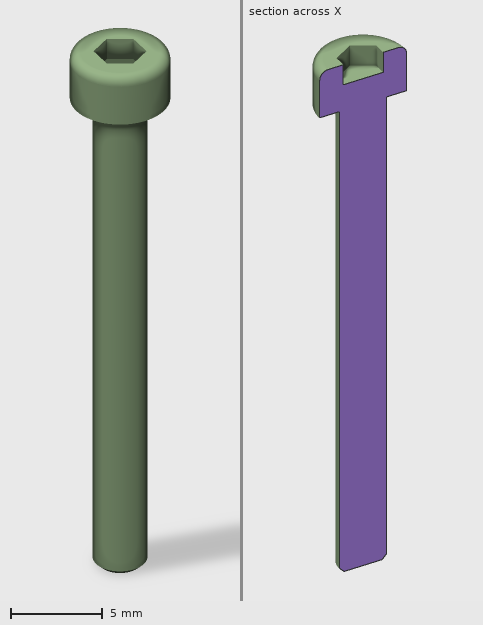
import cadquery as cq
import math

shank_diameter = 3.0
shank_length = 30.0
tip_chamfer = 0.3

head_diameter = 5.5
head_height = 3.0
head_fillet = 0.1 * head_diameter

socket_across_flats = 2.5
socket_depth = 1.3


def make_head():
    head = cq.Workplane("XY").circle(head_diameter / 2).extrude(head_height)
    return head.faces(">Z").edges().fillet(head_fillet)


def make_shank():
    shank = cq.Workplane("XY").circle(shank_diameter / 2).extrude(-shank_length)
    return shank.faces("<Z").edges().chamfer(tip_chamfer)


def make_socket():
    """Hexagonal key socket with two corners on the X axis."""
    across_corners = socket_across_flats / math.cos(math.radians(30))
    top = cq.Workplane("XY").workplane(offset=head_height)
    return top.polygon(6, across_corners).extrude(-socket_depth)


result = make_head().union(make_shank()).cut(make_socket())